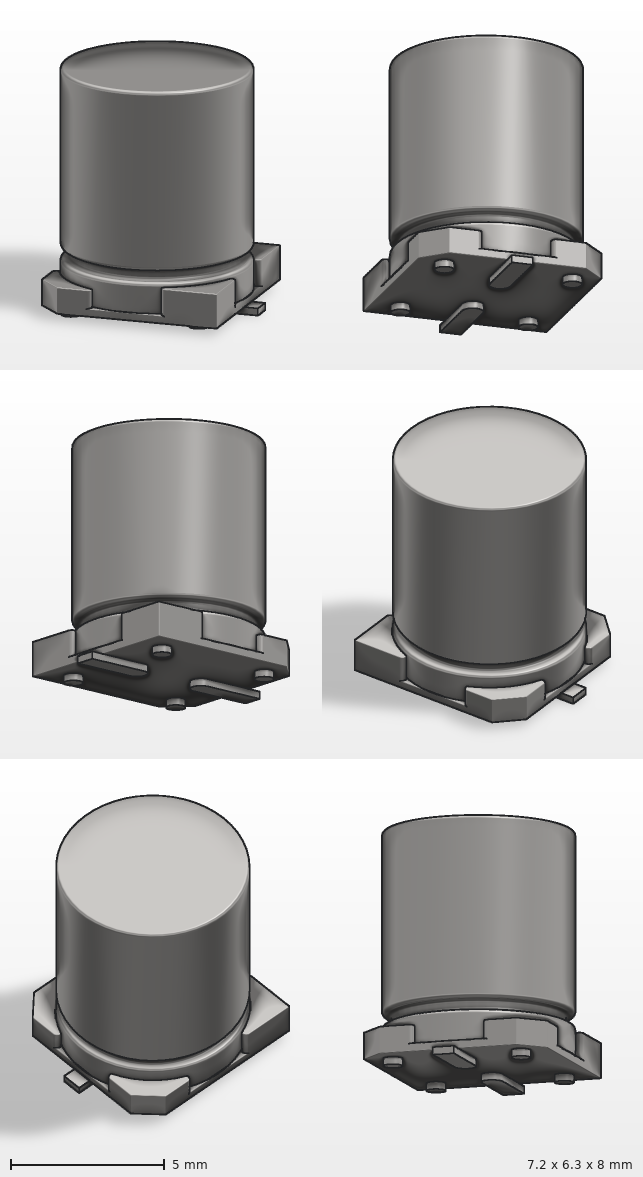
import cadquery as cq
import math


total_height = 8.0
can_diameter = 6.3
can_radius = can_diameter / 2
can_edge_radius = 0.12
groove_radius = 5.67 / 2
groove_bottom = 1.56
groove_top = 1.95
groove_lip_radius = 0.13
groove_root_radius = 0.12

base_side = can_diameter
half_base = base_side / 2
base_bottom = 0.25
floor_top = 0.53
low_corner_top = 1.14
high_corner_top = 1.42
corner_chamfer = 0.8
corner_spacing = 2.4
corner_clearance = 0.03
corner_inner_radius = can_radius + corner_clearance
corner_outer_round = 0.15
corner_inner_round = 0.04
base_edge_break = 0.03

lead_span = 7.2
lead_width = 0.72
lead_inner_end = 1.02
foot_diameter = 0.63
foot_offset = 2.2


def arc_point(center_r, center_z, radius, angle):
    """Point on a profile arc, angle in degrees from the radial direction."""
    turn = math.radians(angle)
    return (center_r + radius * math.cos(turn), center_z + radius * math.sin(turn))


def make_can():
    """Revolve the can profile, with its rolled groove near the base."""
    lip_r = can_radius - groove_lip_radius
    root_r = groove_radius + groove_root_radius
    lower_lip = groove_bottom - groove_lip_radius
    upper_lip = groove_top + groove_lip_radius
    lower_root = groove_bottom + groove_root_radius
    upper_root = groove_top - groove_root_radius
    top_edge_r = can_radius - can_edge_radius
    top_edge_z = total_height - can_edge_radius
    lower_lip_mid = arc_point(lip_r, lower_lip, groove_lip_radius, 45)
    lower_root_mid = arc_point(root_r, lower_root, groove_root_radius, 225)
    upper_root_mid = arc_point(root_r, upper_root, groove_root_radius, 135)
    upper_lip_mid = arc_point(lip_r, upper_lip, groove_lip_radius, 315)
    top_edge_mid = arc_point(top_edge_r, top_edge_z, can_edge_radius, 45)

    profile = (
        cq.Workplane("XZ")
        .moveTo(0, floor_top)
        .lineTo(can_radius, floor_top)
        .lineTo(can_radius, lower_lip)
        .threePointArc(lower_lip_mid, (lip_r, groove_bottom))
        .lineTo(root_r, groove_bottom)
        .threePointArc(lower_root_mid, (groove_radius, lower_root))
        .lineTo(groove_radius, upper_root)
        .threePointArc(upper_root_mid, (root_r, groove_top))
        .lineTo(lip_r, groove_top)
        .threePointArc(upper_lip_mid, (can_radius, upper_lip))
        .lineTo(can_radius, top_edge_z)
        .threePointArc(top_edge_mid, (top_edge_r, total_height))
        .lineTo(0, total_height)
        .close()
    )
    return profile.revolve(360, (0, 0, 0), (0, 1, 0))


def base_outline(height):
    """Prism of the base outline: a square with its two -X corners cut off."""
    points = [
        (half_base, -half_base),
        (half_base, half_base),
        (-half_base + corner_chamfer, half_base),
        (-half_base, half_base - corner_chamfer),
        (-half_base, -half_base + corner_chamfer),
        (-half_base + corner_chamfer, -half_base),
    ]
    prism = cq.Workplane("XY", origin=(0, 0, base_bottom)).polyline(points).close().extrude(height)
    return prism.edges("|Z").fillet(base_edge_break)


def make_corner(x_side, y_side, top):
    """One raised corner, hollowed around the can and rounded at both ends."""
    height = top - base_bottom
    middle = (base_side + corner_spacing) / 4
    block_side = (base_side - corner_spacing) / 2
    block = cq.Workplane("XY", origin=(x_side * middle, y_side * middle, base_bottom))
    block = block.rect(block_side, block_side).extrude(height)
    can_space = cq.Workplane("XY", origin=(0, 0, base_bottom)).circle(corner_inner_radius).extrude(height)
    corner = base_outline(height).intersect(block).cut(can_space)

    wall = corner_spacing / 2
    inner_reach = math.sqrt(corner_inner_radius**2 - wall**2)
    for reach, radius in ((half_base, corner_outer_round), (inner_reach, corner_inner_round)):
        for x, y in ((wall, reach), (reach, wall)):
            upright = cq.selectors.NearestToPointSelector((x_side * x, y_side * y, base_bottom + height / 2))
            corner = corner.edges(upright).fillet(radius)
    return corner.faces("|Z").edges().fillet(base_edge_break)


def make_base():
    """Thin floor with four raised corners, the two at -X lower than the others."""
    base = base_outline(floor_top - base_bottom).faces("|Z").edges().fillet(base_edge_break)
    for y_side in (-1, 1):
        base = base.union(make_corner(-1, y_side, low_corner_top))
        base = base.union(make_corner(1, y_side, high_corner_top))
    return base


def make_lead(x_side):
    """Flat lead from beyond the base to a rounded inner end."""
    round_center = lead_inner_end + lead_width / 2
    outer_end = lead_span / 2
    half_width = lead_width / 2
    return (
        cq.Workplane("XY")
        .moveTo(x_side * outer_end, -half_width)
        .lineTo(x_side * round_center, -half_width)
        .threePointArc((x_side * lead_inner_end, 0), (x_side * round_center, half_width))
        .lineTo(x_side * outer_end, half_width)
        .close()
        .extrude(base_bottom)
    )


def make_feet():
    """Four round standoff feet under the base."""
    spacing = 2 * foot_offset
    feet = cq.Workplane("XY").rect(spacing, spacing, forConstruction=True).vertices()
    return feet.circle(foot_diameter / 2).extrude(base_bottom)


result = make_base().union(make_can()).union(make_feet())
for side in (-1, 1):
    result = result.union(make_lead(side))